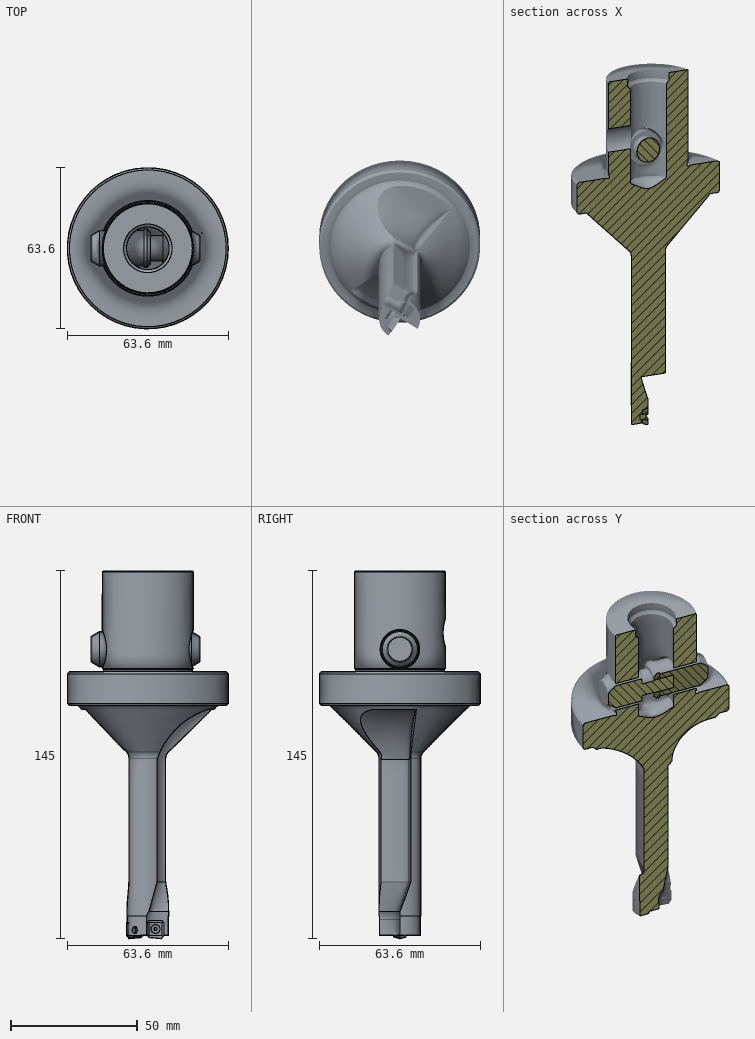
import cadquery as cq
import math

top_z = 145.0
flange_radius = 31.8
flange_top_z = 105.3
flange_bottom_z = 92.0
flange_chamfer = 0.9
shank_radius = 18.0
shank_chamfer = 0.5
undercut_depth = 0.5
undercut_radius = shank_radius - undercut_depth
undercut_height = 1.3
face_groove_radius = 18.8
face_groove_depth = 0.3
cone_radius = 27.5
neck_radius = 8.3
neck_fillet = 3.6
tip_radius = 8.1
tip_step_z = 9.0
body_bottom_z = 1.3

bore_radius = 8.4
bore_bottom_z = 101.5
bore_point_angle = 118.0
counterbore_radius = 9.5
counterbore_depth = 3.3
side_hole_radius = 5.7
side_hole_z = 120.6
cut_clearance = 1.5

pin_z = 114.1
pin_radius = 7.0
pin_hole_radius = 7.7
pin_end_radius = 5.2
pin_end_chamfer = 0.5
pin_left_x = -22.5
pin_right_x = 20.6
pin_cone_length = 3.3
sleeve_end_x = -1.6
collar_radius = 7.5
collar_end_x = 1.0
collar_bevel = 1.3
sleeve_hole_depth = 5.8
pin_stud_radius = 5.1
pin_head_x = 6.0

flute_top_z = 90.3
front_runout_start_z = 70.6
front_runout_middle = (10.0, 81.5)
front_runout_reach = 23.5
flute_end_z = 22.5
tip_flute_z = 10.7
flute_reach = 43.5
rear_tip_flat_x = 1.3
rear_tip_flat_z = 5.5
front_tip_flat_x = -0.5
front_tip_flat_z = 7.5

rear_neck = (5.4, 4.6, 5.5, 16.0)
rear_tip = (3.0, 0.0, 2.9, 0.0)
front_neck = (3.6, 3.9, 0.5, 7.0)
front_tip = (0.5, 0.0, 0.5, 0.0)

pocket_z = 74.4
pocket_floor = 7.0
pocket_wall_slope = 25.0
pocket_wall_lower_y = -2.5
pocket_wall_upper_y = -0.3

insert_size = 6.8
insert_thickness = 2.5
insert_relief_angle = 15.0
insert_corner = 1.0
insert_bottom_z = 0.5
insert_center_z = insert_bottom_z + insert_size / 2
front_insert_x = 3.0
rear_insert_x = -5.1
insert_rim = 0.9
insert_recess_depth = 0.1
cutting_point_offset = 2.3
screw_head_radius = 1.7
screw_head_height = 1.2
screw_radius = 1.0
screw_length = 3.6
socket_radius = 0.65
socket_depth = 0.7

radial_hole_radius = 1.3
radial_hole_depth = 1.9
radial_hole_angle = 230.0
radial_hole_z = 3.5
coolant_radius = 1.0
coolant_y = 4.0
coolant_depth = 2.9


def holder_blank():
    """Turned blank: shank, flange, cone and drill neck."""
    cone_end_z = flange_bottom_z - (cone_radius - neck_radius)
    half_fillet_angle = math.radians(45 / 2)
    fillet_reach = neck_fillet * math.tan(half_fillet_angle)
    fillet_on_cone = fillet_reach * math.sqrt(0.5)
    sag = neck_fillet / math.cos(half_fillet_angle) - neck_fillet
    sag_x = sag * math.cos(half_fillet_angle)
    sag_z = sag * math.sin(half_fillet_angle)
    groove_z = flange_top_z - face_groove_depth
    undercut_top_z = flange_top_z + undercut_height
    outline = (
        cq.Workplane("XZ")
        .moveTo(0, body_bottom_z)
        .lineTo(tip_radius, body_bottom_z)
        .lineTo(tip_radius, tip_step_z)
        .lineTo(neck_radius, tip_step_z)
        .lineTo(neck_radius, cone_end_z - fillet_reach)
        .threePointArc(
            (neck_radius + sag_x, cone_end_z - sag_z),
            (neck_radius + fillet_on_cone, cone_end_z + fillet_on_cone),
        )
        .lineTo(cone_radius, flange_bottom_z)
        .lineTo(flange_radius - flange_chamfer, flange_bottom_z)
        .lineTo(flange_radius, flange_bottom_z + flange_chamfer)
        .lineTo(flange_radius, flange_top_z - flange_chamfer)
        .lineTo(flange_radius - flange_chamfer, flange_top_z)
        .lineTo(face_groove_radius, flange_top_z)
        .lineTo(face_groove_radius - face_groove_depth, groove_z)
        .lineTo(undercut_radius, groove_z)
        .lineTo(undercut_radius, undercut_top_z - undercut_depth)
        .lineTo(shank_radius, undercut_top_z)
        .lineTo(shank_radius, top_z - shank_chamfer)
        .lineTo(shank_radius - shank_chamfer, top_z)
        .lineTo(0, top_z)
        .close()
    )
    return outline.revolve(360, (0, 0, 0), (0, 1, 0))


def bore():
    """Blind centre bore with a countersunk counterbore and a drill-point bottom."""
    point_height = bore_radius / math.tan(math.radians(bore_point_angle / 2))
    lead = counterbore_radius - bore_radius
    outline = (
        cq.Workplane("XZ")
        .moveTo(0, bore_bottom_z - point_height)
        .lineTo(bore_radius, bore_bottom_z)
        .lineTo(bore_radius, top_z - counterbore_depth - lead)
        .lineTo(counterbore_radius, top_z - counterbore_depth)
        .lineTo(counterbore_radius, top_z)
        .lineTo(0, top_z)
        .close()
    )
    return outline.revolve(360, (0, 0, 0), (0, 1, 0))


def pin_hole():
    """Hole across the shank along X for the clamping pin."""
    return (
        cq.Workplane("YZ")
        .center(0, pin_z)
        .circle(pin_hole_radius)
        .extrude(shank_radius + cut_clearance, both=True)
    )


def side_hole():
    """Radial hole from the +Y side of the shank into the bore."""
    return (
        cq.Workplane("XZ")
        .center(0, side_hole_z)
        .circle(side_hole_radius)
        .extrude(-(shank_radius + cut_clearance))
    )


def flute_profile(plane, floor, wall, corner, wall_slope):
    """Flute section on the -X side: floor at x = -floor, rounded into a wall facing +Y.

    The wall falls away outward by wall_slope degrees, and wall is how far its lowest
    tangent lies below the X axis.
    """
    turn = math.radians(90 - wall_slope)
    center_x = -floor - corner
    center_y = -wall + corner
    arc_middle = (center_x + corner * math.cos(turn / 2), center_y - corner * math.sin(turn / 2))
    arc_end = (center_x + corner * math.cos(turn), center_y - corner * math.sin(turn))
    wall_drop = (flute_reach + arc_end[0]) * math.tan(math.radians(wall_slope))
    return (
        plane.moveTo(-floor, flute_reach)
        .lineTo(-floor, center_y)
        .threePointArc(arc_middle, arc_end)
        .lineTo(-flute_reach, arc_end[1] - wall_drop)
        .lineTo(-flute_reach, flute_reach)
        .close()
    )


def runout_space(floor_points, arc_middle, arc_reach):
    """Space outside a flute floor that runs up the neck and then curves out through the cone.

    Points are (outward reach, height), from the bottom up.
    """
    outline = cq.Workplane("XZ").moveTo(-flute_reach, flute_end_z)
    for reach, height in floor_points:
        outline = outline.lineTo(-reach, height)
    return (
        outline.threePointArc((-arc_middle[0], arc_middle[1]), (-arc_reach, flute_top_z))
        .lineTo(-flute_reach, flute_top_z)
        .close()
        .extrude(flute_reach, both=True)
    )


def flute_tip(neck_section, tip_section):
    """Stretch where the flute changes from its neck section to its tip section."""
    upper_end = flute_profile(cq.Workplane("XY").workplane(offset=flute_end_z), *neck_section)
    lower_plane = upper_end.workplane(offset=tip_flute_z - flute_end_z)
    return flute_profile(lower_plane, *tip_section).loft(ruled=True)


def flute_prism(neck_section, end_z):
    """Straight flute along the neck up to end_z."""
    section = flute_profile(cq.Workplane("XY").workplane(offset=flute_end_z), *neck_section)
    return section.extrude(end_z - flute_end_z)


def tip_clearance(flat_x, flat_z, floor):
    """Quarter of the tip cleared on the (-X, +Y) side, rounded into the flute floor above."""
    arc_width = floor - flat_x
    arc_height = tip_flute_z - flat_z
    return (
        cq.Workplane("XZ")
        .moveTo(-flat_x, 0)
        .lineTo(-flat_x, flat_z)
        .threePointArc(
            (-flat_x - arc_width * (1 - math.sqrt(0.5)), flat_z + arc_height * math.sqrt(0.5)),
            (-floor, tip_flute_z),
        )
        .lineTo(-flute_reach, tip_flute_z)
        .lineTo(-flute_reach, 0)
        .close()
        .extrude(-flute_reach)
    )


def cone_pocket():
    """Rear pocket in the cone: its sloping wall moves out as it rises."""
    outer_drop = (flute_reach - pocket_floor) * math.tan(math.radians(pocket_wall_slope))

    def section(plane, wall_y):
        return plane.polyline([
            (-pocket_floor, flute_reach),
            (-pocket_floor, wall_y),
            (-flute_reach, wall_y - outer_drop),
            (-flute_reach, flute_reach),
        ]).close()

    lower_end = section(cq.Workplane("XY").workplane(offset=pocket_z), pocket_wall_lower_y)
    upper_plane = lower_end.workplane(offset=flute_top_z - pocket_z)
    return section(upper_plane, pocket_wall_upper_y).loft(ruled=True)


def rear_flute():
    """Flute on the -X side, from the tip clearance up to the pocket in the cone."""
    floor = rear_neck[0]
    ledge = pocket_floor - floor
    radius = flute_top_z - pocket_z
    arc_middle = (
        pocket_floor + radius * (1 - math.sqrt(0.5)),
        pocket_z + radius * math.sqrt(0.5),
    )
    floor_points = [(floor, flute_end_z), (floor, pocket_z - ledge), (pocket_floor, pocket_z)]
    runout = runout_space(floor_points, arc_middle, pocket_floor + radius)
    flute = flute_prism(rear_neck, pocket_z).union(cone_pocket()).intersect(runout)
    clearance = tip_clearance(rear_tip_flat_x, rear_tip_flat_z, rear_tip[0])
    return flute.union(flute_tip(rear_neck, rear_tip)).union(clearance)


def half_turn(body):
    """The same shape on the opposite side of the drill axis."""
    return body.rotate((0, 0, 0), (0, 0, 1), 180)


def front_flute():
    """Flute on the +X side, modelled on the -X side and turned round."""
    floor = front_neck[0]
    floor_points = [(floor, flute_end_z), (floor, front_runout_start_z)]
    runout = runout_space(floor_points, front_runout_middle, front_runout_reach)
    flute = flute_prism(front_neck, flute_top_z).intersect(runout)
    clearance = tip_clearance(front_tip_flat_x, front_tip_flat_z, front_tip[0])
    return half_turn(flute.union(flute_tip(front_neck, front_tip)).union(clearance))


def insert_blank():
    """Square plate with cut corners, its face on y = 0 looking to -Y, and a low cutting point."""
    half = insert_size / 2
    flat = half - insert_corner
    return (
        cq.Workplane("XZ")
        .polyline([
            (-flat, -half),
            (cutting_point_offset, -insert_center_z),
            (half, -flat),
            (half, flat),
            (flat, half),
            (-flat, half),
            (-half, flat),
            (-half, -flat),
        ])
        .close()
        .extrude(-insert_thickness, taper=insert_relief_angle)
    )


def screw_blank():
    """Countersunk screw along +Y with its head flush with the recessed insert face."""
    return (
        cq.Workplane("XY")
        .moveTo(0, insert_recess_depth)
        .lineTo(screw_head_radius, insert_recess_depth)
        .lineTo(screw_radius, insert_recess_depth + screw_head_height)
        .lineTo(screw_radius, screw_length)
        .lineTo(0, screw_length)
        .close()
        .revolve(360, (0, 0, 0), (0, 1, 0))
    )


def screw_hole():
    """Blind hole for an insert screw."""
    return cq.Workplane("XZ").circle(screw_radius).extrude(-screw_length)


def insert_seats(blank):
    """A shape of the insert frame, placed at the front seat and at the rear seat."""
    front = blank.translate((front_insert_x, 0, insert_center_z))
    rear = half_turn(blank).translate((rear_insert_x, 0, insert_center_z))
    return [front, rear]


def coolant_outlet():
    """Short hole along X that breaks out at the bottom of the tip."""
    return (
        cq.Workplane("YZ")
        .center(coolant_y, body_bottom_z)
        .circle(coolant_radius)
        .extrude(coolant_depth, both=True)
    )


def radial_hole():
    """Blind radial hole in the outside of the tip behind the rear insert."""
    return (
        cq.Workplane("YZ", origin=(tip_radius - radial_hole_depth, 0, radial_hole_z))
        .circle(radial_hole_radius)
        .extrude(2 * radial_hole_depth)
        .rotate((0, 0, 0), (0, 0, 1), radial_hole_angle)
    )


def make_holder():
    """One-piece drill holder with its bore, cross holes, flutes and insert seats."""
    body = holder_blank().cut(bore()).cut(pin_hole()).cut(side_hole())
    body = body.cut(rear_flute()).cut(front_flute())
    for seat in insert_seats(insert_blank()) + insert_seats(screw_hole()):
        body = body.cut(seat)
    return body.cut(coolant_outlet()).cut(radial_hole())


def turned_along_x(points):
    """Solid turned about the pin axis from (x, radius) points."""
    return (
        cq.Workplane("XY")
        .polyline(points)
        .close()
        .revolve(360, (0, 0, 0), (1, 0, 0))
        .translate((0, 0, pin_z))
    )


def make_pin_sleeve():
    """Left half of the clamping pin: tapered end and a blind hole for the stud."""
    hole_x = sleeve_end_x - sleeve_hole_depth
    return turned_along_x([
        (pin_left_x, 0),
        (pin_left_x, pin_end_radius - pin_end_chamfer),
        (pin_left_x + pin_end_chamfer, pin_end_radius),
        (pin_left_x + pin_cone_length, pin_radius),
        (sleeve_end_x, pin_radius),
        (sleeve_end_x, pin_stud_radius),
        (hole_x, pin_stud_radius),
        (hole_x, 0),
    ])


def make_pin_collar():
    """Collar ring on the stud, against the end of the sleeve."""
    return turned_along_x([
        (sleeve_end_x, pin_stud_radius),
        (sleeve_end_x, collar_radius),
        (collar_end_x - collar_bevel, collar_radius),
        (collar_end_x, collar_radius - collar_bevel),
        (collar_end_x, pin_stud_radius),
    ])


def make_pin_stud():
    """Right half of the clamping pin: stud held in the sleeve and a tapered head."""
    return turned_along_x([
        (sleeve_end_x - sleeve_hole_depth, 0),
        (sleeve_end_x - sleeve_hole_depth, pin_stud_radius),
        (pin_head_x, pin_stud_radius),
        (pin_head_x, pin_radius),
        (pin_right_x - pin_cone_length, pin_radius),
        (pin_right_x - pin_end_chamfer, pin_end_radius),
        (pin_right_x, pin_end_radius - pin_end_chamfer),
        (pin_right_x, 0),
    ])


def make_inserts():
    """Front and rear cutting inserts, with a recessed face, countersunk for their screws."""
    recess_size = insert_size - 2 * insert_rim
    recess = cq.Workplane("XZ").rect(recess_size, recess_size).extrude(-insert_recess_depth)
    return insert_seats(insert_blank().cut(recess).cut(screw_blank()))


def make_insert_screws():
    """Countersunk insert screws with a hexagon socket."""
    socket = (
        cq.Workplane("XZ", origin=(0, insert_recess_depth, 0))
        .polygon(6, 2 * socket_radius)
        .extrude(-socket_depth)
    )
    return insert_seats(screw_blank().cut(socket))


holder = make_holder()
pin_sleeve = make_pin_sleeve()
pin_collar = make_pin_collar()
pin_stud = make_pin_stud()
inserts = make_inserts()
insert_screws = make_insert_screws()

bodies = [holder, pin_sleeve, pin_collar, pin_stud] + inserts + insert_screws
result = cq.Compound.makeCompound([body.solids().val() for body in bodies])